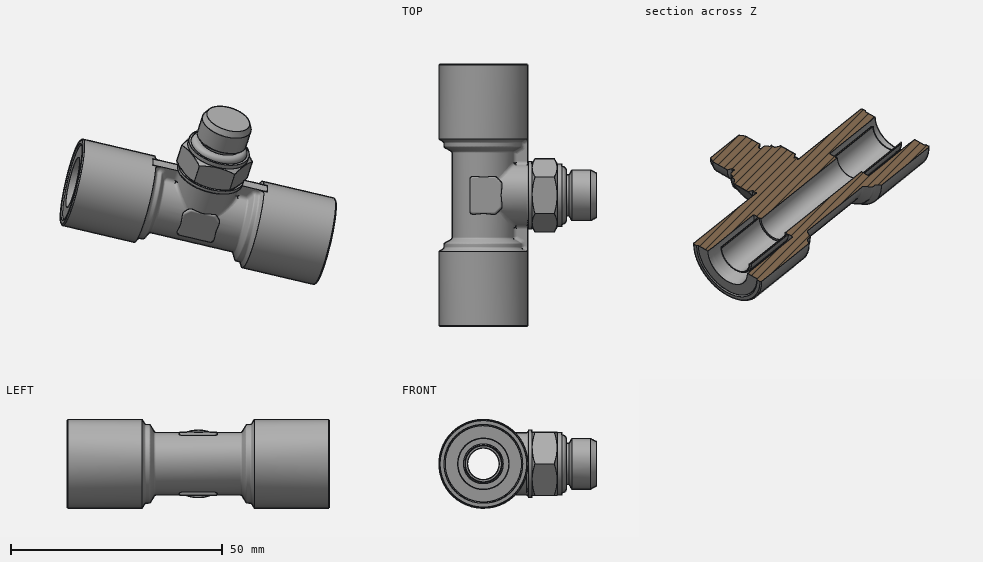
import cadquery as cq
import math


half_length = 31.0
body_radius = 10.5
body_end_chamfer = 0.3
body_inner_end = 13.25
shoulder_radius = 9.3
shoulder_outer_end = 12.5
neck_radius = 7.4
neck_half_length = 10.25
shoulder_cone_angle = 60.0
shoulder_inner_end = neck_half_length + (shoulder_radius - neck_radius) / math.tan(
    math.radians(shoulder_cone_angle)
)
shoulder_rounding = 0.45

recess_mouth_radius = 9.3
recess_floor_radius = 9.0
recess_depth = 0.3

socket_mouth_radius = 12.15 / 2
socket_radius = 12.0 / 2
socket_mouth_depth = 1.2
socket_lead_depth = 1.95
socket_depth = 17.0
sleeve_outer_radius = 4.7
sleeve_tip_radius = 8.8 / 2
sleeve_bore_radius = 8.5 / 2
sleeve_tip_depth = 3.15
sleeve_tip_chamfer = 0.3
run_bore_radius = 7.4 / 2

branch_radius = 7.4
collar_start = 10.6
collar_end = 11.45
collar_radius = 8.0
flare_radius = 0.4
hex_across_flats = 15.0
hex_end = 17.45
hex_chamfer_angle = 30.0
hex_face_radius = 7.4
washer_end = 18.5
washer_radius = 14.8 / 2
seal_end = 19.65
seal_radius = 6.85
seal_rounding = seal_end - washer_end
undercut_end = 20.25
undercut_radius = 9.8 / 2
thread_start = 20.85
thread_radius = 12.0 / 2
thread_chamfer_start = 25.3
thread_tip_radius = 5.25
branch_end = 26.7

web_half_thickness = 1.4
web_fillet = 1.0
web_half_length = 14.0
crossing_fillet = 0.8
corner_edges_start = 0.5
branch_root_end = collar_start - flare_radius

pad_height = 7.5
pad_left = -3.2
pad_right = 4.4
pad_half_width = 4.5
pad_corner_cut = 1.5
pad_corner_rounding = 0.8
pad_edge_rounding = 0.5


def turned_about_y(profile):
    points = [(radius, distance) for distance, radius in profile]
    return cq.Workplane("XY").polyline(points).close().revolve(360, (0, 0, 0), (0, 1, 0))


def both_ends(shape):
    """Joins a shape at the +Y end to its mirror image at the -Y end."""
    return shape.union(shape.mirror("XZ"))


def cylinder_along_y(radius, length):
    return cq.Workplane("XZ").circle(radius).extrude(length / 2, both=True)


def make_sharp_body_end():
    """The +Y half of the run, with its stepped shoulder left sharp."""
    profile = [
        (0, 0),
        (0, neck_radius),
        (neck_half_length, neck_radius),
        (shoulder_inner_end, shoulder_radius),
        (shoulder_outer_end, shoulder_radius),
        (body_inner_end, body_radius),
        (half_length - body_end_chamfer, body_radius),
        (half_length, body_radius - body_end_chamfer),
        (half_length, recess_mouth_radius),
        (half_length - recess_depth, recess_floor_radius),
        (half_length - recess_depth, 0),
    ]
    return turned_about_y(profile)


def round_shoulder_edge(run, distance):
    """Rounds the circular edge of the run at one distance along Y."""
    margin = 0.1
    region = cq.selectors.BoxSelector(
        (-body_radius, distance - margin, -body_radius),
        (body_radius, distance + margin, body_radius),
    )
    return run.edges(region).edges("%CIRCLE").fillet(shoulder_rounding)


def add_branch_and_webs(run):
    branch_root = cq.Workplane("YZ").circle(branch_radius).extrude(collar_start)
    webs = cq.Workplane("XY").box(
        body_radius, 2 * web_half_length, 2 * web_half_thickness, centered=(False, True, True)
    )
    return run.union(branch_root).union(webs)


def inner_corners(reach, half_height):
    """Picks the edges in the corners between run and branch, leaving out the end edges."""
    return cq.selectors.BoxSelector(
        (corner_edges_start, -reach, -half_height), (branch_root_end, reach, half_height)
    )


def make_crossing():
    """Neck and branch meeting at equal diameters, with filleted corners."""
    crossing = add_branch_and_webs(cylinder_along_y(neck_radius, 2 * web_half_length))
    return crossing.edges(inner_corners(body_inner_end, neck_radius)).fillet(crossing_fillet)


def make_webbed_run():
    """The run with the webs blended into its neck and shoulders."""
    body_end = round_shoulder_edge(make_sharp_body_end(), shoulder_inner_end)
    run = add_branch_and_webs(both_ends(body_end))
    web_edges = inner_corners(body_inner_end, 1.5 * web_half_thickness)
    run = run.edges(web_edges).fillet(web_fillet)
    for distance in (neck_half_length, shoulder_outer_end):
        for side in (1, -1):
            run = round_shoulder_edge(run, side * distance)
    return run


def make_pads():
    """One block through the crossing, whose top and bottom show as the two pads."""
    cut_x = pad_right - pad_corner_cut
    cut_y = pad_half_width - pad_corner_cut
    outline = [
        (pad_left, -pad_half_width),
        (cut_x, -pad_half_width),
        (pad_right, -cut_y),
        (pad_right, cut_y),
        (cut_x, pad_half_width),
        (pad_left, pad_half_width),
    ]
    block = cq.Workplane("XY").polyline(outline).close().extrude(pad_height, both=True)
    block = block.edges("|Z").fillet(pad_corner_rounding)
    return block.faces("|Z").edges().fillet(pad_edge_rounding)


def make_socket():
    """The space between the tube socket wall and the support sleeve, opened at the mouth."""
    sleeve_tip = half_length - sleeve_tip_depth
    profile = [
        (half_length, 0),
        (half_length, socket_mouth_radius),
        (half_length - socket_mouth_depth, socket_mouth_radius),
        (half_length - socket_lead_depth, socket_radius),
        (half_length - socket_depth, socket_radius),
        (half_length - socket_depth, sleeve_outer_radius),
        (sleeve_tip - sleeve_tip_chamfer, sleeve_outer_radius),
        (sleeve_tip, sleeve_tip_radius),
        (sleeve_tip, sleeve_bore_radius),
        (half_length - socket_depth, sleeve_bore_radius),
        (half_length - socket_depth, 0),
    ]
    return turned_about_y(profile)


def make_collar():
    flare_start = collar_start - flare_radius
    flare_bend = flare_radius * math.sqrt(0.5)
    return (
        cq.Workplane("XY")
        .moveTo(0, 0)
        .lineTo(0, branch_radius)
        .lineTo(flare_start, branch_radius)
        .threePointArc(
            (flare_start + flare_bend, branch_radius + flare_radius - flare_bend),
            (collar_start, branch_radius + flare_radius),
        )
        .lineTo(collar_start, collar_radius)
        .lineTo(collar_end, collar_radius)
        .lineTo(collar_end, 0)
        .close()
        .revolve(360, (0, 0, 0), (1, 0, 0))
    )


def make_hexagon():
    """A hexagon with corners on +Y and -Y, its ends turned down to a cone."""
    corner_radius = hex_across_flats / math.sqrt(3)
    chamfer = (corner_radius - hex_face_radius) * math.tan(math.radians(hex_chamfer_angle))
    length = hex_end - collar_end
    prism = cq.Workplane("YZ").workplane(offset=collar_end).polygon(6, 2 * corner_radius).extrude(length)
    turned = (
        cq.Workplane("XY")
        .polyline(
            [
                (collar_end, 0),
                (collar_end, hex_face_radius),
                (collar_end + chamfer, corner_radius),
                (hex_end - chamfer, corner_radius),
                (hex_end, hex_face_radius),
                (hex_end, 0),
            ]
        )
        .close()
        .revolve(360, (0, 0, 0), (1, 0, 0))
    )
    return prism.intersect(turned)


def make_threaded_end():
    rounding_bend = seal_rounding * math.sqrt(0.5)
    return (
        cq.Workplane("XY")
        .moveTo(collar_end, 0)
        .lineTo(collar_end, washer_radius)
        .lineTo(washer_end, washer_radius)
        .lineTo(washer_end, seal_radius)
        .threePointArc(
            (washer_end + rounding_bend, seal_radius - seal_rounding + rounding_bend),
            (seal_end, seal_radius - seal_rounding),
        )
        .lineTo(seal_end, undercut_radius)
        .lineTo(undercut_end, undercut_radius)
        .lineTo(thread_start, thread_radius)
        .lineTo(thread_chamfer_start, thread_radius)
        .lineTo(branch_end, thread_tip_radius)
        .lineTo(branch_end, 0)
        .close()
        .revolve(360, (0, 0, 0), (1, 0, 0))
    )


fitting = make_webbed_run().union(make_crossing())
fitting = fitting.union(make_pads())
fitting = fitting.union(make_collar()).union(make_hexagon()).union(make_threaded_end())
fitting = fitting.cut(both_ends(make_socket()))
result = fitting.cut(cylinder_along_y(run_bore_radius, 2 * half_length))